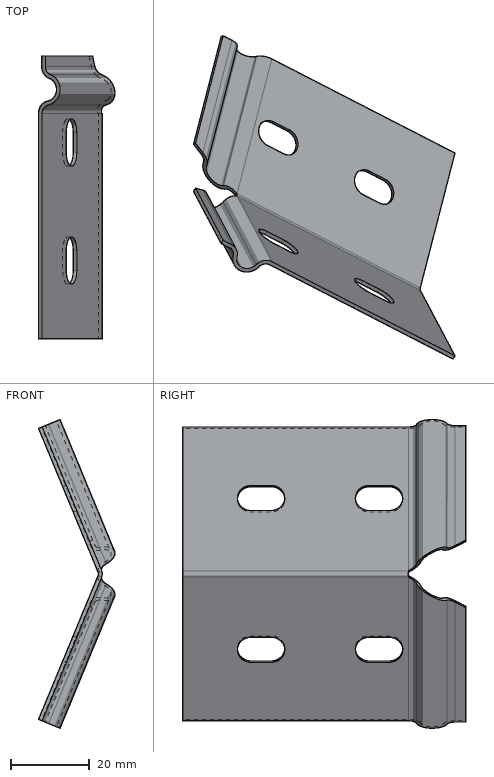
import cadquery as cq
import math

sheet = 1.0
leaf_length = 40.05
total_width = 72.0
lean = 22.5
fold_inner_radius = 1.0

crest_to_end = 8.6
crest_height = 4.95
crest_inner_radius = 3.0
bend_inner_radius = 2.2
lip_height = 0.9
notch_angle = 29.0

slot_length = 12.0
slot_width = 6.9
slot_distance = 20.5
slot_centers_y = (19.95, 49.95)

fold_outer_radius = fold_inner_radius + sheet
fold_end = fold_inner_radius * math.tan(math.radians(lean))
bend_outer_radius = bend_inner_radius + sheet
crest_y = total_width - crest_to_end
crest_center = (crest_height - crest_inner_radius, crest_y)
crest_to_bend = crest_inner_radius + bend_outer_radius


def bend_center(face_height, side):
    """Centre of the bend joining a flat to the crest; side is -1 or +1 along Y."""
    x = face_height + bend_outer_radius
    rise = math.sqrt(crest_to_bend**2 - (x - crest_center[0]) ** 2)
    return (x, crest_y + side * rise)


leaf_bend = bend_center(0, -1)
lip_bend = bend_center(lip_height, 1)
rim_start_y = leaf_bend[1]


def angle_from_crest(center):
    return math.degrees(math.atan2(center[1] - crest_center[1], center[0] - crest_center[0]))


def on_circle(center, radius, angle):
    a = math.radians(angle)
    return (center[0] + radius * math.cos(a), center[1] + radius * math.sin(a))


def arc(center, radius, start, end):
    """Start, middle and end points of an arc."""
    return [on_circle(center, radius, a) for a in (start, (start + end) / 2, end)]


def face_arcs(bend_radius, crest_radius):
    """The three tangent arcs of one sheet face, in order of increasing Y."""
    leaf_angle = angle_from_crest(leaf_bend)
    lip_angle = angle_from_crest(lip_bend)
    return [
        arc(leaf_bend, bend_radius, 180, leaf_angle + 180),
        arc(crest_center, crest_radius, leaf_angle, lip_angle),
        arc(lip_bend, bend_radius, lip_angle + 180, 180),
    ]


def flat_leaf():
    """One leaf standing upright: X is its normal, Z runs away from the fold."""
    inner = face_arcs(bend_outer_radius, crest_inner_radius)
    outer = face_arcs(bend_inner_radius, crest_inner_radius + sheet)
    profile = cq.Workplane("XY").workplane(offset=-sheet).moveTo(0, 0)
    profile = profile.lineTo(*inner[0][0])
    for _, middle, end in inner:
        profile = profile.threePointArc(middle, end)
    profile = profile.lineTo(lip_height, total_width).lineTo(lip_height + sheet, total_width)
    profile = profile.lineTo(*outer[-1][2])
    for start, middle, _ in reversed(outer):
        profile = profile.threePointArc(middle, start)
    return profile.lineTo(sheet, 0).close().extrude(leaf_length + sheet)


def notch():
    """Clears the leaf through the rounded fold and cuts the rim ends at a slope."""
    run = total_width - rim_start_y
    rise = run * math.tan(math.radians(notch_angle))
    depth = crest_height + 2 * sheet
    points = [
        (0, -sheet),
        (0, fold_end),
        (rim_start_y, fold_end),
        (total_width, fold_end + rise),
        (total_width, -sheet),
    ]
    return cq.Workplane("YZ").polyline(points).close().extrude(depth)


def slots():
    centers = [(y, slot_distance) for y in slot_centers_y]
    return cq.Workplane("YZ").pushPoints(centers).slot2D(slot_length, slot_width).extrude(sheet)


def upper_leaf():
    leaf = flat_leaf().cut(notch()).cut(slots())
    return leaf.rotate((0, 0, 0), (0, 1, 0), -lean)


def fold():
    """Rounded strip joining the two leaves, tangent to both."""
    axis_x = -fold_inner_radius / math.cos(math.radians(lean))
    inner = arc((axis_x, 0), fold_inner_radius, -lean, lean)
    outer = arc((axis_x, 0), fold_outer_radius, -lean, lean)
    strip = cq.Workplane("XZ").moveTo(*inner[0]).threePointArc(*inner[1:])
    strip = strip.lineTo(*outer[2]).threePointArc(outer[1], outer[0]).close()
    return strip.extrude(-rim_start_y)


leaf = upper_leaf()
result = fold().union(leaf).union(leaf.mirror("XY"))